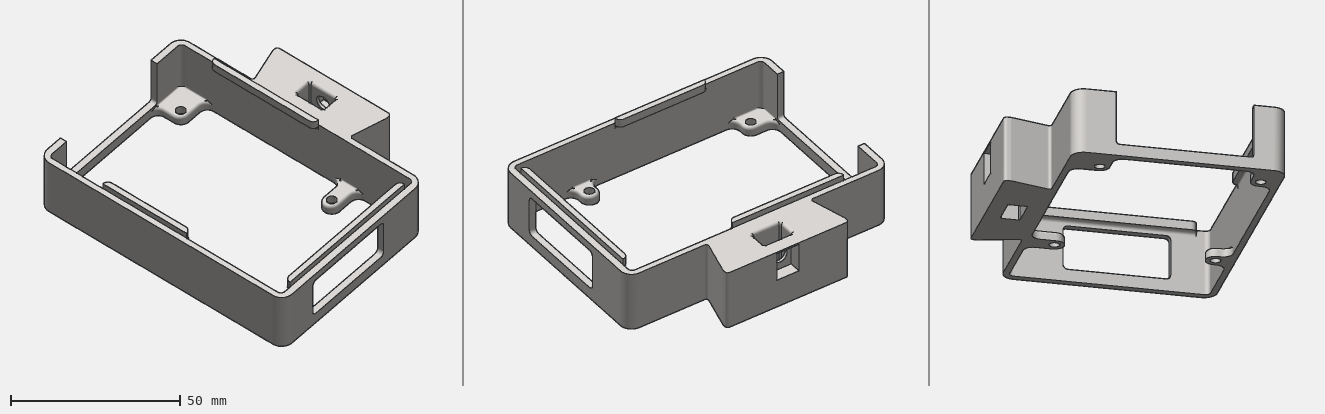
import cadquery as cq
import math

FRAME_LENGTH = 94.0
FRAME_DEPTH = 65.0
WALL_HEIGHT = 20.6
END_WALL = 2.35
SIDE_WALL = 2.0
OUTER_CORNER_RADIUS = 4.0
INNER_CORNER_RADIUS = 1.5

INNER_LEFT = END_WALL - FRAME_LENGTH / 2
INNER_RIGHT = -INNER_LEFT
INNER_BACK = FRAME_DEPTH / 2 - SIDE_WALL
INNER_FRONT = -INNER_BACK
OUTER_BACK = FRAME_DEPTH / 2

NOTCH_FRONT = -22.4
NOTCH_BACK = 19.5
NOTCH_FLOOR = 3.7
NOTCH_RADIUS = 1.0
WINDOW_FRONT = -18.8
WINDOW_BACK = 13.9
WINDOW_BOTTOM = 3.95
WINDOW_TOP = 18.0
WINDOW_RADIUS = 1.5

RAIL_TOP = 22.6
RAIL_HEIGHT = 2.8
RAIL_WIDTH = 2.0
RAIL_END_RADIUS = 1.9
RAIL_COVE_RADIUS = 1.1
BACK_RAIL = (-31.9, 8.1)
FRONT_RAIL = (-24.0, 8.1)
RIGHT_RAIL = (-26.5, 26.3)

CORNER_LUG_X = -38.0
MIDDLE_LUG_X = 20.0
BACK_LUG_Y = 22.4
FRONT_LUG_Y = -26.5
LUG_RADIUS = 3.0
LUG_HEIGHT = 3.0
LUG_ROOT_RADIUS = 3.0
LUG_EDGE_FILLET = 1.0
LUG_HOLE_DIAMETER = 3.2
LUG_COVE_RADIUS = 0.5
ANCHOR_DEPTH = 1.4

ANCHOR_REACH = 1.5 * LUG_ROOT_RADIUS
LUG_FLARE = LUG_ROOT_RADIUS - math.sqrt((LUG_ROOT_RADIUS + LUG_EDGE_FILLET) ** 2 - LUG_ROOT_RADIUS**2)
LUG_FLOOR = (0, LUG_HEIGHT)
BACK_ANCHOR = (INNER_BACK, INNER_BACK + ANCHOR_DEPTH)

TAB_DEPTH = 15.0
TAB_WIDTH = 43.8
TAB_STRAIGHT = 2.1
TAB_ANGLE = 15.0
TAB_TIP_RADIUS = 1.0
TAB_ROOT_RADIUS = 0.8
POCKET_LENGTH = 10.1
POCKET_WIDTH = 6.0
POCKET_Y = OUTER_BACK + 7.0
POCKET_CORNER_CHAMFER = 0.5
POCKET_EDGE_FILLET = 1.0
BOLT_DIAMETER = 5.0
BOLT_LENGTH = 1.0
BOLT_Z = 15.0
RECESS_WIDTH = 8.0
RECESS_HEIGHT = 10.0

SELECT_MARGIN = 0.1


def box(x_range, y_range, z_range):
    """Box spanning the given (low, high) ranges."""
    sizes = [high - low for low, high in (x_range, y_range, z_range)]
    corner = (x_range[0], y_range[0], z_range[0])
    return cq.Workplane("XY").box(*sizes, centered=False).translate(corner)


def edges_near(low, high):
    """Selector for the edges whose centres lie in a box, give or take a small margin."""
    return cq.selectors.BoxSelector(
        tuple(value - SELECT_MARGIN for value in low),
        tuple(value + SELECT_MARGIN for value in high),
    )


def make_cove(start, end, radius):
    """Concave quarter-round along X where a floor z = 0 meets a wall y = 0, on the -Y side."""
    return (
        cq.Workplane("YZ", origin=(start, 0, 0))
        .lineTo(0, radius)
        .radiusArc((-radius, 0), radius)
        .close()
        .extrude(end - start)
    )


def make_tab():
    tip_y = OUTER_BACK + TAB_DEPTH
    half_tip = TAB_WIDTH / 2
    half_root = half_tip - (TAB_DEPTH - TAB_STRAIGHT) * math.tan(math.radians(TAB_ANGLE))
    return (
        cq.Workplane("XY")
        .moveTo(-half_root, INNER_BACK)
        .lineTo(-half_root, OUTER_BACK)
        .lineTo(-half_tip, tip_y - TAB_STRAIGHT)
        .lineTo(-half_tip, tip_y)
        .lineTo(half_tip, tip_y)
        .lineTo(half_tip, tip_y - TAB_STRAIGHT)
        .lineTo(half_root, OUTER_BACK)
        .lineTo(half_root, INNER_BACK)
        .close()
        .extrude(WALL_HEIGHT)
        .edges("|Z and >Y")
        .fillet(TAB_TIP_RADIUS)
    )


def make_body():
    """Frame ring and tab, with the corners where they meet rounded."""
    block = (
        cq.Workplane("XY")
        .rect(FRAME_LENGTH, FRAME_DEPTH)
        .extrude(WALL_HEIGHT)
        .edges("|Z")
        .fillet(OUTER_CORNER_RADIUS)
        .union(make_tab())
    )
    half_tip = TAB_WIDTH / 2
    root_edges = edges_near((-half_tip, OUTER_BACK, 0), (half_tip, OUTER_BACK, WALL_HEIGHT))
    block = block.edges("|Z").edges(root_edges).fillet(TAB_ROOT_RADIUS)
    cavity = (
        cq.Workplane("XY")
        .rect(INNER_RIGHT - INNER_LEFT, INNER_BACK - INNER_FRONT)
        .extrude(WALL_HEIGHT)
        .edges("|Z")
        .fillet(INNER_CORNER_RADIUS)
    )
    return block.cut(cavity)


def cut_pocket(body):
    """Cut the through pocket, round its rim, and open it to the back by a bolt hole and a recess."""
    pocket = (
        cq.Workplane("XY")
        .center(0, POCKET_Y)
        .rect(POCKET_LENGTH, POCKET_WIDTH)
        .extrude(WALL_HEIGHT)
        .edges("|Z")
        .chamfer(POCKET_CORNER_CHAMFER)
    )
    half_length = POCKET_LENGTH / 2
    half_width = POCKET_WIDTH / 2
    rim_edges = edges_near(
        (-half_length, POCKET_Y - half_width, WALL_HEIGHT),
        (half_length, POCKET_Y + half_width, WALL_HEIGHT),
    )
    body = body.cut(pocket).edges(rim_edges).fillet(POCKET_EDGE_FILLET)

    bolt = (
        cq.Workplane("XZ", origin=(0, POCKET_Y, BOLT_Z))
        .circle(BOLT_DIAMETER / 2)
        .extrude(-TAB_DEPTH)
    )
    recess_start = POCKET_Y + half_width + BOLT_LENGTH
    recess = (
        cq.Workplane("XZ", origin=(0, recess_start, BOLT_Z))
        .rect(RECESS_WIDTH, RECESS_HEIGHT)
        .extrude(-TAB_DEPTH)
    )
    return body.cut(bolt).cut(recess)


def make_notch():
    return (
        box((-FRAME_LENGTH, INNER_LEFT), (NOTCH_FRONT, NOTCH_BACK), (NOTCH_FLOOR, RAIL_TOP))
        .edges("|X and <Z")
        .fillet(NOTCH_RADIUS)
    )


def make_window():
    return (
        box((INNER_RIGHT, FRAME_LENGTH), (WINDOW_FRONT, WINDOW_BACK), (WINDOW_BOTTOM, WINDOW_TOP))
        .edges("|X")
        .fillet(WINDOW_RADIUS)
    )


def make_rail(start, end):
    """Rail along +X whose back lies against a wall face at y = 0, body toward -Y."""
    bottom = RAIL_TOP - RAIL_HEIGHT
    strip = (
        box((start, end), (-RAIL_WIDTH, 0), (bottom, RAIL_TOP))
        .edges("|Z and <Y")
        .fillet(RAIL_END_RADIUS)
    )
    cove = make_cove(start, end, RAIL_COVE_RADIUS).mirror("XY").translate((0, 0, bottom))
    return strip.union(cove)


def finish_lug(lug, roots, hole_x, hole_y):
    """Round the concave roots and the exposed top edge of a lug, then drill it."""
    for x, y in roots:
        root = cq.NearestToPointSelector((x, y, LUG_HEIGHT / 2))
        lug = lug.edges("|Z").edges(root).fillet(LUG_ROOT_RADIUS)
    exposed = edges_near((INNER_LEFT, INNER_FRONT, LUG_HEIGHT), (INNER_RIGHT, INNER_BACK, LUG_HEIGHT))
    hole = cq.Workplane("XY").center(hole_x, hole_y).circle(LUG_HOLE_DIAMETER / 2).extrude(LUG_HEIGHT)
    return lug.edges(exposed).fillet(LUG_EDGE_FILLET).cut(hole)


def make_lug_tip(hole_x, hole_y):
    return cq.Workplane("XY").center(hole_x, hole_y).circle(LUG_RADIUS).extrude(LUG_HEIGHT)


def make_back_cove(start, end):
    return make_cove(start, end, LUG_COVE_RADIUS).translate((0, INNER_BACK, LUG_HEIGHT))


def make_middle_lug(hole_x, hole_y):
    """Tongue reaching out from the back wall."""
    left = hole_x - LUG_RADIUS
    right = hole_x + LUG_RADIUS
    lug = (
        make_lug_tip(hole_x, hole_y)
        .union(box((left, right), (hole_y, INNER_BACK), LUG_FLOOR))
        .union(box((left - ANCHOR_REACH, right + ANCHOR_REACH), BACK_ANCHOR, LUG_FLOOR))
    )
    lug = finish_lug(lug, [(left, INNER_BACK), (right, INNER_BACK)], hole_x, hole_y)
    return lug.union(make_back_cove(left - LUG_FLARE, right + LUG_FLARE))


def make_corner_lug(hole_x, hole_y):
    """Pad filling the corner between the left and back walls."""
    right = hole_x + LUG_RADIUS
    front = hole_y - LUG_RADIUS
    left_anchor = (INNER_LEFT - ANCHOR_DEPTH, INNER_LEFT)
    lug = (
        make_lug_tip(hole_x, hole_y)
        .union(box((INNER_LEFT, right), (hole_y, INNER_BACK), LUG_FLOOR))
        .union(box((INNER_LEFT, hole_x), (front, INNER_BACK), LUG_FLOOR))
        .union(box((INNER_LEFT, right + ANCHOR_REACH), BACK_ANCHOR, LUG_FLOOR))
        .union(box(left_anchor, (front - ANCHOR_REACH, INNER_BACK), LUG_FLOOR))
    )
    lug = finish_lug(lug, [(right, INNER_BACK), (INNER_LEFT, front)], hole_x, hole_y)
    left_cove = (
        make_cove(front - LUG_FLARE, INNER_BACK, LUG_COVE_RADIUS)
        .rotate((0, 0, 0), (0, 0, 1), 90)
        .translate((INNER_LEFT, 0, LUG_HEIGHT))
    )
    return lug.union(make_back_cove(INNER_LEFT, right + LUG_FLARE)).union(left_cove)


result = cut_pocket(make_body()).cut(make_notch()).cut(make_window())

back_rail = make_rail(*BACK_RAIL).translate((0, INNER_BACK, 0))
front_rail = make_rail(*FRONT_RAIL).mirror("XZ").translate((0, INNER_FRONT, 0))
right_rail = (
    make_rail(-RIGHT_RAIL[1], -RIGHT_RAIL[0])
    .rotate((0, 0, 0), (0, 0, 1), -90)
    .translate((INNER_RIGHT, 0, 0))
)
for rail in (back_rail, front_rail, right_rail):
    result = result.union(rail)

for make_lug, lug_x in ((make_corner_lug, CORNER_LUG_X), (make_middle_lug, MIDDLE_LUG_X)):
    result = result.union(make_lug(lug_x, BACK_LUG_Y))
    result = result.union(make_lug(lug_x, -FRONT_LUG_Y).mirror("XZ"))